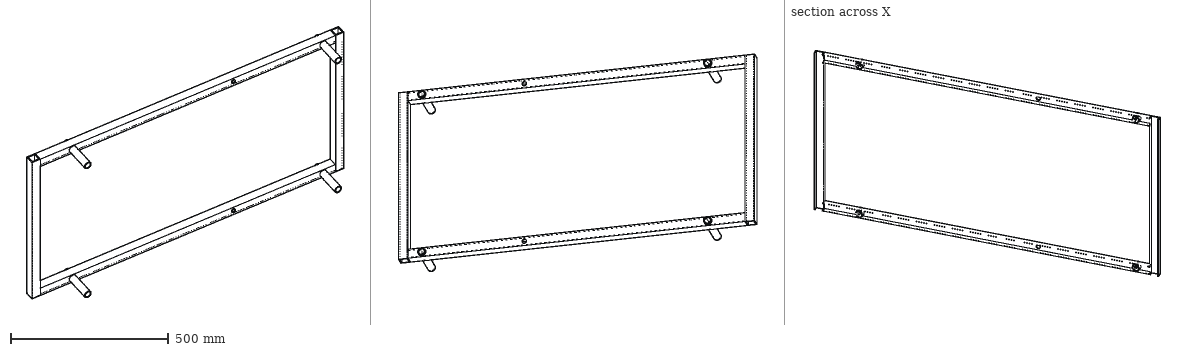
import cadquery as cq

frame_length = 1168.0
frame_height = 584.0

section_width = 32.0
wall = 4.0
bore_width = section_width - 2 * wall
rail_length = frame_length - 2 * section_width
post_offset = (frame_length - section_width) / 2
rail_offset = (frame_height - section_width) / 2

sleeve_diameter = 26.0
sleeve_bore = 19.0
sleeve_length = 127.0
sleeve_front_overhang = 6.0
sleeve_start = -section_width / 2 - sleeve_front_overhang
sleeve_positions = (507.0, -431.0)

bolt_hole_diameter = 14.0
bolt_hole_position = 172.0


def make_post(y):
    """Upright square tube, open at both ends."""
    return (
        cq.Workplane("XY", origin=(0, y, -frame_height / 2))
        .rect(section_width, section_width)
        .rect(bore_width, bore_width)
        .extrude(frame_height)
    )


def cross_hole(diameter, y, z):
    """Cutter along X that passes through both walls of a rail."""
    return (
        cq.Workplane("YZ", origin=(-section_width, y, z))
        .circle(diameter / 2)
        .extrude(2 * section_width)
    )


def make_rail(z):
    """Horizontal square tube drilled for its sleeves and bolt."""
    rail = (
        cq.Workplane("XZ", origin=(0, rail_length / 2, z))
        .rect(section_width, section_width)
        .rect(bore_width, bore_width)
        .extrude(rail_length)
    )
    for y in sleeve_positions:
        rail = rail.cut(cross_hole(sleeve_diameter, y, z))
    return rail.cut(cross_hole(bolt_hole_diameter, bolt_hole_position, z))


def make_sleeve(y, z):
    """Round tube standing out from both faces of a rail."""
    return (
        cq.Workplane("YZ", origin=(sleeve_start, y, z))
        .circle(sleeve_diameter / 2)
        .circle(sleeve_bore / 2)
        .extrude(sleeve_length)
    )


posts = [make_post(y) for y in (-post_offset, post_offset)]
rails = [make_rail(z) for z in (-rail_offset, rail_offset)]
sleeves = [make_sleeve(y, z) for z in (-rail_offset, rail_offset) for y in sleeve_positions]

result = cq.Compound.makeCompound([body.val() for body in posts + rails + sleeves])